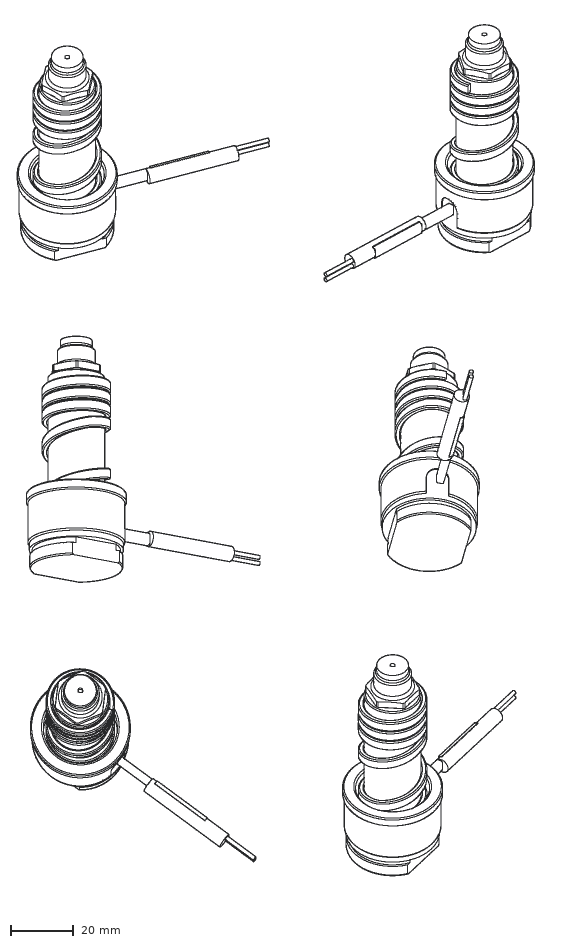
import cadquery as cq
import math

TOTAL_DEPTH = 85

TOTAL_HEIGHT = 76.2
BASE_TOP = 4.2
NECK_TOP = 6.1
RING_TOP = 8.1
COLLAR_BOTTOM = 21.8
COLLAR_TOP = 25.1
TUBE_TOP = 64.1
HEX_BOTTOM = 64.6
HEX_TOP = 67.2
FLARE_TOP = 68.2
SHOULDER_TOP = 72.8
STEM_CONE_TOP = 73.3
STEM_BLEND_TOP = 74.0

BASE_R = 14.9
NECK_R = 14.1
RING_R = 15.05
HOUSING_R = 15.5
COLLAR_R = 16.0
TUBE_R = 9.1
HEX_NECK_R = 7.0
SHOULDER_R = 6.0
STEM_CONE_R = 5.4
STEM_R = 5.1

BASE_BEVEL_WIDTH = 0.25
BASE_BEVEL_HEIGHT = 0.5
HOUSING_BEVEL_HEIGHT = 0.6
EDGE_CHAMFER = 0.4

FLAT_HALF_WIDTH = 12.0
HEX_ACROSS_FLATS = 15.2
HEX_CORNER_R = 8.6
HEX_BEVEL_HEIGHT = 0.4
VENT_R = 0.8
VENT_DEPTH = 1.7

WELL_R = 11.8
WELL_CHAMFER = 0.6

COIL_R = 11.0
STRIP_HEIGHT = 3.6
STRIP_OUTER_BEVEL = 0.4
STRIP_INNER_BEVEL = 0.5
STRIP_OVERLAP = 0.1
COIL_TOP_ANGLE = 109.5
COIL_TOP_Z = 61.1
CLOSED_PITCH = 4.0
OPEN_PITCH = 17.8
BLEND_PITCH = (CLOSED_PITCH + OPEN_PITCH) / 2
BLEND_SWEEP = 80
COIL_STRETCHES = [
    (1114, CLOSED_PITCH),
    (BLEND_SWEEP, BLEND_PITCH),
    (438, OPEN_PITCH),
    (BLEND_SWEEP, BLEND_PITCH),
    (360, CLOSED_PITCH),
]

COIL_DROP = sum(pitch * sweep / 360 for sweep, pitch in COIL_STRETCHES)
WELL_FLOOR = COIL_TOP_Z - COIL_DROP - STRIP_HEIGHT / 2

CABLE_Z = 14.45
CABLE_START_Y = 12.75
SLEEVE_START_Y = 27.3
SLEEVE_END_Y = 57.6
SLEEVE_R = 2.51
WIRE_END_Y = TOTAL_DEPTH - COLLAR_R
WIRE_R = 0.7
WIRE_X = -1.0
WIRE_SPACING = 2.0
SHEATH_MIN_X = -1.95
SHEATH_MAX_X = 0.3
SHEATH_HEIGHT = 3.8
SHEATH_ROUND = 0.5
BLOCK_START_Y = 28.9
BLOCK_END_Y = 49.0
BLOCK_MIN_X = -2.5
BLOCK_MAX_X = -1.1
CABLE_SLOT_HALF_WIDTH = 3.65


def solid_of_revolution(outline):
    """Revolve a list of (radius, height) points about the Z axis."""
    return cq.Workplane("XZ").polyline(outline).close().revolve(360, (0, 0), (0, 1))


def box_between(x_range, y_range, z_range):
    """Axis-aligned box given by its two limits on each axis."""
    limits = (x_range, y_range, z_range)
    sizes = [high - low for low, high in limits]
    lows = [low for low, _ in limits]
    return cq.Workplane("XY").box(*sizes, centered=False).translate(tuple(lows))


def rod_along_y(radius, x, z, y_start, y_end):
    """Round rod parallel to the Y axis."""
    base = cq.Workplane("XZ", origin=(x, y_start, z))
    return base.circle(radius).extrude(y_start - y_end)


def make_housing():
    """Base, neck, ring, housing and collar, with the coil well open at the top."""
    housing = solid_of_revolution([
        (0, 0),
        (BASE_R - BASE_BEVEL_WIDTH, 0),
        (BASE_R, BASE_BEVEL_HEIGHT),
        (BASE_R, BASE_TOP),
        (NECK_R, BASE_TOP),
        (NECK_R, NECK_TOP),
        (RING_R, NECK_TOP),
        (RING_R, RING_TOP),
        (HOUSING_R, RING_TOP + HOUSING_BEVEL_HEIGHT),
        (HOUSING_R, COLLAR_BOTTOM),
        (COLLAR_R, COLLAR_BOTTOM + EDGE_CHAMFER),
        (COLLAR_R, COLLAR_TOP - EDGE_CHAMFER),
        (COLLAR_R - EDGE_CHAMFER, COLLAR_TOP),
        (0, COLLAR_TOP),
    ])
    for x_range in ((-BASE_R, -FLAT_HALF_WIDTH), (FLAT_HALF_WIDTH, BASE_R)):
        housing = housing.cut(box_between(x_range, (-BASE_R, BASE_R), (0, NECK_TOP)))

    well = solid_of_revolution([
        (0, WELL_FLOOR),
        (WELL_R, WELL_FLOOR),
        (WELL_R, COLLAR_TOP - WELL_CHAMFER),
        (WELL_R + WELL_CHAMFER, COLLAR_TOP),
        (0, COLLAR_TOP),
    ])
    return housing.cut(well).cut(make_cable_slot())


def make_cable_slot():
    """Shallow round-topped slot in the housing around the cable, as deep as the ring radius."""
    slot = rod_along_y(CABLE_SLOT_HALF_WIDTH, 0, CABLE_Z, 0, COLLAR_R)
    slot = slot.union(box_between(
        (-CABLE_SLOT_HALF_WIDTH, CABLE_SLOT_HALF_WIDTH), (0, COLLAR_R), (RING_TOP, CABLE_Z)))
    core = cq.Workplane("XY").circle(RING_R).extrude(COLLAR_TOP)
    return slot.cut(core)


def make_tube():
    """Central tube, the necks around the hexagon, and the stem with its vent hole."""
    tube = solid_of_revolution([
        (0, WELL_FLOOR),
        (TUBE_R, WELL_FLOOR),
        (TUBE_R, TUBE_TOP - EDGE_CHAMFER),
        (TUBE_R - EDGE_CHAMFER, TUBE_TOP),
        (HEX_NECK_R, TUBE_TOP),
        (HEX_NECK_R, HEX_TOP),
        (SHOULDER_R, FLARE_TOP),
        (SHOULDER_R, SHOULDER_TOP),
        (STEM_CONE_R, STEM_CONE_TOP),
        (STEM_R, STEM_BLEND_TOP),
        (STEM_R, TOTAL_HEIGHT),
        (0, TOTAL_HEIGHT),
    ])
    vent = solid_of_revolution([
        (0, TOTAL_HEIGHT),
        (VENT_R, TOTAL_HEIGHT),
        (VENT_R, TOTAL_HEIGHT - VENT_DEPTH),
        (0, TOTAL_HEIGHT - VENT_DEPTH - VENT_R),
    ])
    return tube.cut(vent)


def make_hexagon():
    """Hexagon with corners on the Y axis, trimmed round and bevelled on top."""
    across_corners = HEX_ACROSS_FLATS / math.cos(math.radians(30))
    prism = (
        cq.Workplane("XY", origin=(0, 0, HEX_BOTTOM))
        .transformed(rotate=(0, 0, 90))
        .polygon(6, across_corners)
        .extrude(HEX_TOP - HEX_BOTTOM)
    )
    envelope = solid_of_revolution([
        (0, HEX_BOTTOM),
        (HEX_CORNER_R, HEX_BOTTOM),
        (HEX_CORNER_R, HEX_TOP - HEX_BEVEL_HEIGHT),
        (HEX_NECK_R, HEX_TOP),
        (0, HEX_TOP),
    ])
    return prism.intersect(envelope)


def make_coil_stretch(bottom_angle, bottom_z, sweep, pitch):
    """One constant-pitch stretch of strip, rising counter-clockwise from its lower end."""
    inner = TUBE_R - STRIP_OVERLAP
    path = cq.Wire.makeHelix(pitch, pitch * sweep / 360, COIL_R)
    half = STRIP_HEIGHT / 2
    strip = (
        cq.Workplane("XZ")
        .moveTo(inner, STRIP_INNER_BEVEL - half)
        .lineTo(inner + STRIP_INNER_BEVEL, -half)
        .lineTo(COIL_R - STRIP_OUTER_BEVEL, -half)
        .lineTo(COIL_R, STRIP_OUTER_BEVEL - half)
        .lineTo(COIL_R, half - STRIP_OUTER_BEVEL)
        .lineTo(COIL_R - STRIP_OUTER_BEVEL, half)
        .lineTo(inner + STRIP_INNER_BEVEL, half)
        .lineTo(inner, half - STRIP_INNER_BEVEL)
        .close()
        .sweep(cq.Workplane(path), isFrenet=True)
    )
    return strip.rotate((0, 0, 0), (0, 0, 1), bottom_angle).translate((0, 0, bottom_z))


def make_coil():
    """List the stretches of the coil from the top down, each starting where the last ends."""
    stretches = []
    angle = COIL_TOP_ANGLE
    z = COIL_TOP_Z
    for sweep, pitch in COIL_STRETCHES:
        angle -= sweep
        z -= pitch * sweep / 360
        stretches.append(make_coil_stretch(angle, z, sweep, pitch))
    return stretches


def make_cable():
    """Flat sheath, round sleeve with its flat-sided block, and two wires."""
    half_height = SHEATH_HEIGHT / 2
    z_range = (CABLE_Z - half_height, CABLE_Z + half_height)
    sheath = box_between((SHEATH_MIN_X, SHEATH_MAX_X), (CABLE_START_Y, SLEEVE_END_Y), z_range)
    sheath = sheath.edges("|Y").fillet(SHEATH_ROUND)

    block = box_between((BLOCK_MIN_X, BLOCK_MAX_X), (BLOCK_START_Y, BLOCK_END_Y), z_range)
    block = block.edges("|Y and <X").fillet(SHEATH_ROUND)
    recess = box_between(
        (-SLEEVE_R, BLOCK_MAX_X),
        (BLOCK_START_Y, BLOCK_END_Y),
        (CABLE_Z - SLEEVE_R, CABLE_Z + SLEEVE_R),
    )
    sleeve = rod_along_y(SLEEVE_R, 0, CABLE_Z, SLEEVE_START_Y, SLEEVE_END_Y)
    cable = sleeve.cut(recess).union(block).union(sheath)

    for side in (-1, 1):
        wire_z = CABLE_Z + side * WIRE_SPACING / 2
        cable = cable.union(rod_along_y(WIRE_R, WIRE_X, wire_z, BLOCK_END_Y, WIRE_END_Y))
    return cable


result = make_housing().union(make_tube()).union(make_hexagon()).union(make_cable())
for stretch in make_coil():
    result = result.union(stretch)